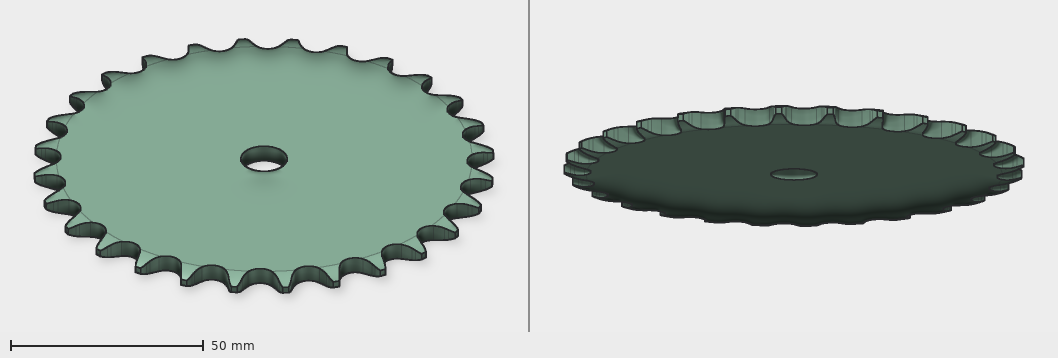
import cadquery as cq
import math

TEETH = 28
CHAIN_PITCH = 12.7
ROLLER_DIAMETER = 7.92
THICKNESS = 4.5
BORE_DIAMETER = 12.0
TIP_RADIUS = 59.71
RELIEF_WIDTH = 5.8
RELIEF_ARC_RADIUS = 13.0

TOOTH_STEP = 360.0 / TEETH
HALF_STEP = math.pi / TEETH
PITCH_RADIUS = CHAIN_PITCH / (2 * math.sin(HALF_STEP))
ROLLER_CLEARANCE = 0.038
SEAT_RADIUS = 0.5025 * ROLLER_DIAMETER + ROLLER_CLEARANCE
WORKING_OFFSET = 0.8 * ROLLER_DIAMETER
TOPPING_OFFSET = 1.4 * ROLLER_DIAMETER
WORKING_RADIUS = SEAT_RADIUS + WORKING_OFFSET
SEAT_END_ANGLE = math.radians(35 + 60 / TEETH)
WORKING_SWEEP = math.radians(18 - 56 / TEETH)
TOPPING_ANGLE = math.radians(17 - 64 / TEETH)
WORKING_END_ANGLE = SEAT_END_ANGLE - WORKING_SWEEP
FLAT_LENGTH = TOPPING_OFFSET * math.sin(TOPPING_ANGLE) - WORKING_OFFSET * math.sin(WORKING_SWEEP)
TOPPING_RADIUS = (
    WORKING_OFFSET * math.cos(WORKING_SWEEP)
    + TOPPING_OFFSET * math.cos(TOPPING_ANGLE)
    - WORKING_RADIUS
)

HALF_THICKNESS = THICKNESS / 2
RELIEF_START_RADIUS = TIP_RADIUS - RELIEF_WIDTH
CUT_MARGIN = 0.5


def relief_height(radius):
    """Height of the relieved side face above the mid-plane at a given radius."""
    distance = radius - RELIEF_START_RADIUS
    drop = RELIEF_ARC_RADIUS - math.sqrt(RELIEF_ARC_RADIUS**2 - distance**2)
    return HALF_THICKNESS - drop


def make_blank():
    """Revolved disc with the bore and the rounded relief on both side faces."""
    bore_radius = BORE_DIAMETER / 2
    middle_radius = RELIEF_START_RADIUS + RELIEF_WIDTH / 2
    middle_z = relief_height(middle_radius)
    tip_z = relief_height(TIP_RADIUS)
    profile = (
        cq.Workplane("XZ")
        .moveTo(bore_radius, -HALF_THICKNESS)
        .lineTo(RELIEF_START_RADIUS, -HALF_THICKNESS)
        .threePointArc((middle_radius, -middle_z), (TIP_RADIUS, -tip_z))
        .lineTo(TIP_RADIUS, tip_z)
        .threePointArc((middle_radius, middle_z), (RELIEF_START_RADIUS, HALF_THICKNESS))
        .lineTo(bore_radius, HALF_THICKNESS)
        .close()
    )
    return profile.revolve(360, (0, 0, 0), (0, 1, 0))


def polar(center, radius, angle):
    """Point at a radius and an angle below horizontal from a centre."""
    return (center[0] + radius * math.cos(angle), center[1] - radius * math.sin(angle))


def mirrored(point):
    """Matching point on the other flank of the gap."""
    return (-point[0], point[1])


def make_gap():
    """Cutter for one tooth gap centred on +Y.

    Each side runs from the roller seat through a concave working curve and a
    short flat to a convex topping curve, all tangent to one another.
    """
    seat_center = (0, PITCH_RADIUS)
    seat_bottom = (0, PITCH_RADIUS - SEAT_RADIUS)
    seat_end = polar(seat_center, SEAT_RADIUS, SEAT_END_ANGLE)

    working_center = polar(seat_center, -WORKING_OFFSET, SEAT_END_ANGLE)
    working_middle = polar(working_center, WORKING_RADIUS, SEAT_END_ANGLE - WORKING_SWEEP / 2)
    working_end = polar(working_center, WORKING_RADIUS, WORKING_END_ANGLE)

    flat_end = polar(working_end, FLAT_LENGTH, WORKING_END_ANGLE - math.pi / 2)

    topping_center = polar(flat_end, TOPPING_RADIUS, WORKING_END_ANGLE)
    top_y = TIP_RADIUS + CUT_MARGIN
    topping_end_angle = math.asin((top_y - topping_center[1]) / TOPPING_RADIUS)
    topping_middle_angle = (WORKING_END_ANGLE + topping_end_angle) / 2
    topping_middle = polar(topping_center, -TOPPING_RADIUS, topping_middle_angle)
    topping_end = polar(topping_center, -TOPPING_RADIUS, topping_end_angle)

    return (
        cq.Workplane("XY", origin=(0, 0, -HALF_THICKNESS - CUT_MARGIN))
        .moveTo(*mirrored(seat_end))
        .threePointArc(seat_bottom, seat_end)
        .threePointArc(working_middle, working_end)
        .lineTo(*flat_end)
        .threePointArc(topping_middle, topping_end)
        .lineTo(*mirrored(topping_end))
        .threePointArc(mirrored(topping_middle), mirrored(flat_end))
        .lineTo(*mirrored(working_end))
        .threePointArc(mirrored(working_middle), mirrored(seat_end))
        .close()
        .extrude(THICKNESS + 2 * CUT_MARGIN)
    )


def cut_teeth(blank):
    """Cut the tooth gaps at equal steps around the rim."""
    gap = make_gap()
    sprocket = blank
    for index in range(TEETH):
        sprocket = sprocket.cut(gap.rotate((0, 0, 0), (0, 0, 1), index * TOOTH_STEP))
    return sprocket


result = cut_teeth(make_blank())